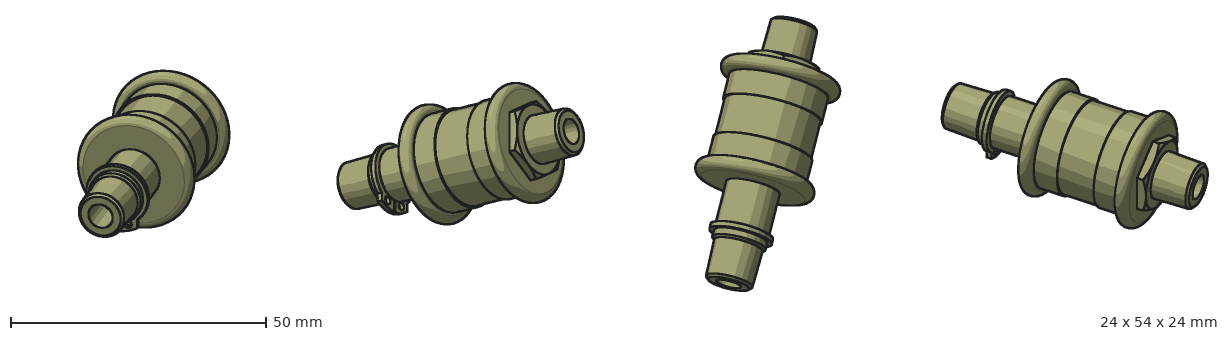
import cadquery as cq
import math

total_length = 54.0

port_length = 8.0
port_end_radius = 4.7
port_base_radius = 4.9
port_chamfer = 0.55
bore_diameter = 5.0
bore_depth = port_length

shaft_radius = 10.8 / 2
shaft_chamfer = shaft_radius - port_base_radius
groove_radius = 9.6 / 2
groove_front = 9.85
groove_width = 1.3

sleeve_front = 20.0
ring_diameter = 24.0
ring_width = 3.0
collar_radius = 20.0 / 2
collar_length = 5.0
middle_radius = 19.4 / 2
middle_length = 8.0

hex_across_flats = 14.0
hex_chamfer_angle = 30.0

clip_thickness = 1.0
clip_radius = 6.3
lug_outer_radius = 7.65
lugs_width = 8.3
lug_gap = 0.5
lug_hole_diameter = 1.6
lug_hole_x = 2.2
lug_hole_z = -5.85

front_collar_start = sleeve_front + ring_width
middle_start = front_collar_start + collar_length
middle_end = middle_start + middle_length
rear_ring_start = middle_end + collar_length
hex_start = rear_ring_start + ring_width
hex_end = total_length - port_length


def plane_at(y):
    """Plane across the axis, with local x = X, local y = Z and normal = -Y."""
    return cq.Workplane("XZ", origin=(0, y, 0))


def cylinder(y_start, y_end, radius):
    return plane_at(y_start).circle(radius).extrude(y_start - y_end)


def revolve_profile(profile):
    return profile.close().revolve(360, (0, 0, 0), (0, 1, 0))


def front_port():
    profile = (
        cq.Workplane("XY")
        .lineTo(port_end_radius - port_chamfer, 0)
        .lineTo(port_end_radius, port_chamfer)
        .lineTo(port_base_radius, port_length)
        .lineTo(0, port_length)
    )
    bore = cylinder(0, bore_depth, bore_diameter / 2)
    return revolve_profile(profile).cut(bore)


def rear_port():
    return front_port().mirror("XZ").translate((0, total_length, 0))


def shaft():
    body = cylinder(port_length, sleeve_front, shaft_radius)
    body = body.faces("<Y").chamfer(shaft_chamfer)
    groove_back = groove_front + groove_width
    groove = cylinder(groove_front, groove_back, shaft_radius).cut(
        cylinder(groove_front, groove_back, groove_radius)
    )
    return body.cut(groove)


def grip_ring(y_start):
    """Disc whose rim is a full half round."""
    round_radius = ring_width / 2
    flat_radius = ring_diameter / 2 - round_radius
    profile = (
        cq.Workplane("XY")
        .moveTo(0, y_start)
        .lineTo(flat_radius, y_start)
        .threePointArc(
            (ring_diameter / 2, y_start + round_radius),
            (flat_radius, y_start + ring_width),
        )
        .lineTo(0, y_start + ring_width)
    )
    return revolve_profile(profile)


def hexagon():
    """Hexagon with corners on Z, its rear corners trimmed by a cone."""
    flat_radius = hex_across_flats / 2
    corner_radius = flat_radius / math.cos(math.radians(30))
    trim_depth = (corner_radius - flat_radius) * math.tan(math.radians(hex_chamfer_angle))
    prism = (
        plane_at(hex_start)
        .transformed(rotate=(0, 0, 90))
        .polygon(6, 2 * corner_radius)
        .extrude(hex_start - hex_end)
    )
    cone = (
        cq.Workplane("XY")
        .moveTo(0, hex_start)
        .lineTo(corner_radius, hex_start)
        .lineTo(corner_radius, hex_end - trim_depth)
        .lineTo(flat_radius, hex_end)
        .lineTo(0, hex_end)
    )
    return prism.intersect(revolve_profile(cone))


def retaining_clip():
    clip_back = groove_front + clip_thickness
    lugs = (
        plane_at(groove_front)
        .center(0, -lug_outer_radius / 2)
        .rect(lugs_width, lug_outer_radius)
        .extrude(-clip_thickness)
        .intersect(cylinder(groove_front, clip_back, lug_outer_radius))
    )
    holes = (
        plane_at(groove_front)
        .pushPoints([(-lug_hole_x, lug_hole_z), (lug_hole_x, lug_hole_z)])
        .circle(lug_hole_diameter / 2)
        .extrude(-clip_thickness)
    )
    gap = (
        plane_at(groove_front)
        .center(0, -lug_outer_radius / 2)
        .rect(lug_gap, lug_outer_radius)
        .extrude(-clip_thickness)
    )
    clip = cylinder(groove_front, clip_back, clip_radius).union(lugs)
    seat = cylinder(groove_front, clip_back, groove_radius)
    return clip.cut(holes).cut(gap).cut(seat)


result = (
    front_port()
    .union(shaft())
    .union(retaining_clip())
    .union(grip_ring(sleeve_front))
    .union(cylinder(front_collar_start, middle_start, collar_radius))
    .union(cylinder(middle_start, middle_end, middle_radius))
    .union(cylinder(middle_end, rear_ring_start, collar_radius))
    .union(grip_ring(rear_ring_start))
    .union(hexagon())
    .union(rear_port())
)